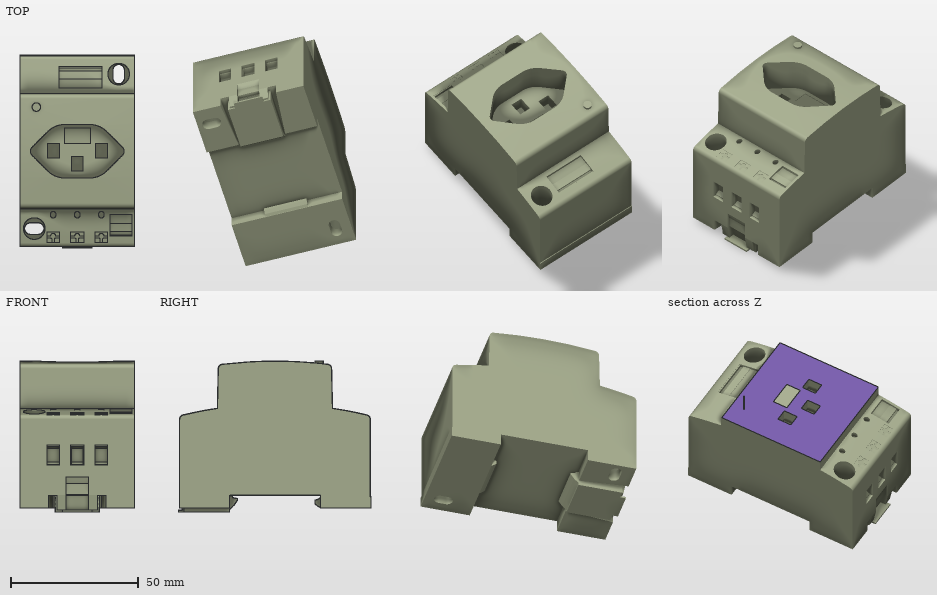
import cadquery as cq
import math

WIDTH = 45.0
HALF_DEPTH = 37.4
LIP_Y = 37.7
LIP_HEIGHT = 4.5
CROWN_RADIUS = 173.6
CROWN_TOP = 57.6
SHOULDER_CROWN_RADIUS = 154.7
SHOULDER_CROWN_TOP = 40.75
TOWER_TOP_Y = 22.2
TOWER_BASE_Y = 22.6
EDGE_FILLET = 1.8

NOTCH_Y = 17.75
NOTCH_TOP = 5.05

SOCKET_HALF_HEIGHT = 10.5
SOCKET_FLAT_CORNER_X = 8.75
SOCKET_TIP_RADIUS = 2.1
SOCKET_SIDE_RADIUS = 9.5
SOCKET_FLOOR = 44.0
PIN_SIZE = (4.7, 5.65)
PIN_DEPTH = 6.05
PIN_CENTRES = [(-9.35, 0.15), (9.5, 0.15), (0.0, -4.9)]
PANEL_SIZE = (10.1, 6.0)
PANEL_CENTRE = (0.15, 6.1)
PANEL_DEPTH = 0.2
BUTTON_CENTRE = (-16.0, 17.3)
BUTTON_RADIUS = 1.65
BUTTON_TOP = 57.7
BUTTON_LENGTH = 3.0

WELL_RADIUS = 4.2
WELL_FLOOR = NOTCH_TOP
SCREW_SLOT_LENGTH = 7.55
SCREW_SLOT_WIDTH = 4.45
FRONT_SCREW = (-16.8, -30.3)
REAR_SCREW = (16.2, 30.2)

WINDOW_INNER_Y = 24.7
WINDOW_RIDGE_Y = 28.3
WINDOW_FOOT_Y = 31.3
WINDOW_GROOVE_Y = 32.7
WINDOW_OUTER_Y = 33.1
WINDOW_INNER_DEPTH = 1.05
WINDOW_PLATE_DEPTH = 0.8
WINDOW_GROOVE_DEPTH = 1.4
WINDOW_LEDGE_DEPTH = 0.15
FRONT_WINDOW_X = (12.9, 21.4)
REAR_WINDOW_X = (-7.1, 9.7)

TERMINAL_PITCH = 9.4
TERMINAL_WIDTH = 4.9
MIDDLE_TERMINAL_WIDTH = 5.2
TEST_HOLE_Y = -24.8
TEST_HOLE_RADII = (1.1, 1.3)
TEST_HOLE_DEPTH = 2.3
SCREW_WINDOW_Y = (-35.6, -31.55)
SCREW_WINDOW_DEPTH = 0.15
MARK_DEPTH = 0.3
MARK_BAND_Y = (-34.0, -33.1)
MARK_BUMP_RADIUS = 1.0
MARK_STEM_WIDTH = 0.9
MARK_STEM_FILLET = 0.6
WIRE_MOUTH_Z = (16.8, 24.7)
WIRE_THROAT_Z = (17.1, 24.15)
WIRE_BACK_Z = (18.1, 23.4)
WIRE_MOUTH_DEPTH = 1.4
WIRE_DEPTH = 3.25
MIDDLE_THROAT_WIDTH = 4.6

LATCH_POCKET_HALF_WIDTH = 11.3
LATCH_POCKET_INNER_HALF_WIDTH = 9.5
LATCH_POCKET_TOP = 5.0
LATCH_HALF_WIDTH = 8.7
LATCH_NOSE_HALF_WIDTH = 7.85
LATCH_FRONT_Y = -35.55
LATCH_NOSE_BOTTOM_Y = -36.3
LATCH_BOTTOM = -1.5
TAB_TOP = -0.75
TAB_HALF_WIDTH = 5.7
TAB_FRONT_Y = -37.8
GRIP_HALF_WIDTH = 4.45
GRIP_RECESS = 2.3
GRIP_SLOT_DEPTH = 0.9
GRIP_SLOT_TOP = 12.3
GRIP_SLOT_SLOPE_Z = 9.65
GRIP_SLOT_BOTTOM = 5.35


def arc_z(top, radius, y):
    """Height at depth y of an arc of the given radius with its crest at `top`."""
    return top - radius + math.sqrt(radius**2 - y**2)


def shoulder_z(y, depth=0):
    """Height at depth y of the shoulder surface, or of a copy of it lowered by `depth`."""
    return arc_z(SHOULDER_CROWN_TOP - depth, SHOULDER_CROWN_RADIUS, y)


def box(x_range, y_range, z_range):
    (x0, x1), (y0, y1), (z0, z1) = x_range, y_range, z_range
    return cq.Workplane("XY").box(x1 - x0, y1 - y0, z1 - z0, centered=False).translate((x0, y0, z0))


def extrude_yz(points, x0, x1):
    """Prism along X whose section is a polygon of (y, z) points."""
    return cq.Workplane("YZ").polyline(points).close().extrude(x1 - x0).translate((x0, 0, 0))


def centred(middle, size):
    return (middle - size / 2, middle + size / 2)


def housing():
    shoulder_outer = shoulder_z(HALF_DEPTH)
    shoulder_inner = shoulder_z(TOWER_BASE_Y)
    shoulder_mid_y = (HALF_DEPTH + TOWER_BASE_Y) / 2
    shoulder_mid = shoulder_z(shoulder_mid_y)
    tower_edge = arc_z(CROWN_TOP, CROWN_RADIUS, TOWER_TOP_Y)
    body = (
        cq.Workplane("YZ")
        .moveTo(-HALF_DEPTH, 0)
        .lineTo(-HALF_DEPTH, shoulder_outer)
        .threePointArc((-shoulder_mid_y, shoulder_mid), (-TOWER_BASE_Y, shoulder_inner))
        .lineTo(-TOWER_TOP_Y, tower_edge)
        .threePointArc((0, CROWN_TOP), (TOWER_TOP_Y, tower_edge))
        .lineTo(TOWER_BASE_Y, shoulder_inner)
        .threePointArc((shoulder_mid_y, shoulder_mid), (HALF_DEPTH, shoulder_outer))
        .lineTo(HALF_DEPTH, 0)
        .close()
        .extrude(WIDTH / 2, both=True)
    )
    for y, z in ((HALF_DEPTH, shoulder_outer), (TOWER_TOP_Y, tower_edge)):
        for side in (-1, 1):
            body = body.edges(cq.selectors.NearestToPointSelector((0, side * y, z))).fillet(EDGE_FILLET)
    full_width = (-WIDTH / 2, WIDTH / 2)
    body = body.union(box(full_width, (NOTCH_Y, LIP_Y), (0, LIP_HEIGHT)))
    return body.cut(box(full_width, (-NOTCH_Y, NOTCH_Y), (0, NOTCH_TOP)))


def rear_hook():
    profile = [(0, 4.1), (-1.0, 3.5), (-2.1, 3.2), (-2.1, 1.7), (-1.0, 0.75), (0, 0.2)]
    tip = [(NOTCH_Y + y, z) for y, z in profile]
    root = [(LIP_Y, profile[-1][1]), (LIP_Y, profile[0][1])]
    return extrude_yz(tip + root, -LATCH_HALF_WIDTH, LATCH_HALF_WIDTH)


def socket():
    length = CROWN_TOP - SOCKET_FLOOR
    tip_x = SOCKET_FLAT_CORNER_X + SOCKET_HALF_HEIGHT
    hexagon = [
        (tip_x, 0),
        (SOCKET_FLAT_CORNER_X, SOCKET_HALF_HEIGHT),
        (-SOCKET_FLAT_CORNER_X, SOCKET_HALF_HEIGHT),
        (-tip_x, 0),
        (-SOCKET_FLAT_CORNER_X, -SOCKET_HALF_HEIGHT),
        (SOCKET_FLAT_CORNER_X, -SOCKET_HALF_HEIGHT),
    ]
    cavity = cq.Workplane("XY").workplane(offset=SOCKET_FLOOR).polyline(hexagon).close().extrude(length)
    cavity = cavity.edges("|Z and (<X or >X)").fillet(SOCKET_TIP_RADIUS)
    for x, y in hexagon:
        if y != 0:
            corner = (x, y, SOCKET_FLOOR + length / 2)
            cavity = cavity.edges(cq.selectors.NearestToPointSelector(corner)).fillet(SOCKET_SIDE_RADIUS)
    return cavity


def socket_floor_cuts():
    floor = cq.Workplane("XY").workplane(offset=SOCKET_FLOOR)
    pins = floor.pushPoints(PIN_CENTRES).rect(*PIN_SIZE).extrude(-PIN_DEPTH)
    return pins.union(floor.center(*PANEL_CENTRE).rect(*PANEL_SIZE).extrude(-PANEL_DEPTH))


def button():
    base = cq.Workplane("XY").workplane(offset=BUTTON_TOP - BUTTON_LENGTH)
    return base.center(*BUTTON_CENTRE).circle(BUTTON_RADIUS).extrude(BUTTON_LENGTH)


def screw_hole(centre, slot_angle):
    well = cq.Workplane("XY").workplane(offset=WELL_FLOOR).center(*centre)
    well = well.circle(WELL_RADIUS).extrude(SHOULDER_CROWN_TOP - WELL_FLOOR)
    slot = cq.Workplane("XY").center(*centre)
    slot = slot.slot2D(SCREW_SLOT_LENGTH, SCREW_SLOT_WIDTH, slot_angle).extrude(SHOULDER_CROWN_TOP)
    return well.union(slot)


def label_window(x_range, side):
    """Window sunk into the front (side = -1) or rear (side = 1) shoulder, with a stepped floor."""
    floor_steps = [
        (WINDOW_INNER_Y, WINDOW_RIDGE_Y, WINDOW_INNER_DEPTH),
        (WINDOW_RIDGE_Y, WINDOW_FOOT_Y, WINDOW_PLATE_DEPTH),
        (WINDOW_FOOT_Y, WINDOW_GROOVE_Y, WINDOW_GROOVE_DEPTH),
        (WINDOW_GROOVE_Y, WINDOW_OUTER_Y, WINDOW_LEDGE_DEPTH),
    ]
    section = [(side * WINDOW_INNER_Y, SHOULDER_CROWN_TOP)]
    for inner_y, outer_y, depth in floor_steps:
        section.append((side * inner_y, shoulder_z(inner_y, depth)))
        section.append((side * outer_y, shoulder_z(outer_y, depth)))
    section.append((side * WINDOW_OUTER_Y, SHOULDER_CROWN_TOP))
    return extrude_yz(section, *x_range)


def test_hole(x):
    bottom = shoulder_z(TEST_HOLE_Y) - TEST_HOLE_DEPTH
    hole = cq.Workplane("XY").workplane(offset=bottom).center(x, TEST_HOLE_Y)
    return hole.ellipse(*TEST_HOLE_RADII).extrude(SHOULDER_CROWN_TOP - bottom)


def shoulder_skin(depth):
    """Layer of the front shoulder, `depth` thick, that limits shallow engraving."""
    outer, inner = -HALF_DEPTH, -TOWER_BASE_Y
    middle = (outer + inner) / 2
    points = [(y, shoulder_z(y, depth)) for y in (outer, middle, inner)]
    skin = cq.Workplane("YZ").moveTo(*points[0]).threePointArc(points[1], points[2])
    skin = skin.lineTo(inner, SHOULDER_CROWN_TOP).lineTo(outer, SHOULDER_CROWN_TOP).close()
    return skin.extrude(WIDTH / 2, both=True)


def screw_mark(x, width):
    """Window over the terminal screw with a band, a round bump and a flared stem sunk deeper into it."""
    tall = (0, SHOULDER_CROWN_TOP)
    window = box(centred(x, width), SCREW_WINDOW_Y, tall).intersect(shoulder_skin(SCREW_WINDOW_DEPTH))
    band_bottom, band_top = MARK_BAND_Y
    band = box(centred(x, width), MARK_BAND_Y, tall)
    stem = box(centred(x, MARK_STEM_WIDTH), (SCREW_WINDOW_Y[0], band_top), tall)
    bump = cq.Workplane("XY").center(x, band_top).circle(MARK_BUMP_RADIUS).extrude(SHOULDER_CROWN_TOP)
    mark = band.union(stem)
    for side in (-1, 1):
        inner_corner = (x + side * MARK_STEM_WIDTH / 2, band_bottom, SHOULDER_CROWN_TOP / 2)
        mark = mark.edges(cq.selectors.NearestToPointSelector(inner_corner)).fillet(MARK_STEM_FILLET)
    return window.union(mark.union(bump).intersect(shoulder_skin(MARK_DEPTH)))


def wire_entry(x, mouth_width, throat_width):
    """Opening in the front face: a straight mouth, then a throat whose floor and roof converge."""
    mouth_back = -HALF_DEPTH + WIRE_MOUTH_DEPTH
    throat_back = -HALF_DEPTH + WIRE_DEPTH
    throat_section = [
        (mouth_back, WIRE_THROAT_Z[0]),
        (throat_back, WIRE_BACK_Z[0]),
        (throat_back, WIRE_BACK_Z[1]),
        (mouth_back, WIRE_THROAT_Z[1]),
    ]
    mouth = box(centred(x, mouth_width), (-HALF_DEPTH, mouth_back), WIRE_MOUTH_Z)
    return mouth.union(extrude_yz(throat_section, *centred(x, throat_width)))


def latch_pocket():
    half_section = [(LATCH_POCKET_HALF_WIDTH, -HALF_DEPTH), (LATCH_POCKET_INNER_HALF_WIDTH, -NOTCH_Y)]
    mirrored = [(-x, y) for x, y in reversed(half_section)]
    return cq.Workplane("XY").polyline(half_section + mirrored).close().extrude(LATCH_POCKET_TOP)


def latch():
    """Sliding latch: bar, sloping nose, pull tab and rail hook, with a finger grip cut into the nose."""
    bar = box(
        (-LATCH_HALF_WIDTH, LATCH_HALF_WIDTH),
        (LATCH_FRONT_Y, -NOTCH_Y),
        (LATCH_BOTTOM, LATCH_POCKET_TOP),
    )
    nose_section = [
        (LATCH_FRONT_Y, LATCH_POCKET_TOP),
        (-HALF_DEPTH, LATCH_POCKET_TOP),
        (LATCH_NOSE_BOTTOM_Y, TAB_TOP),
        (LATCH_FRONT_Y, TAB_TOP),
    ]
    nose = extrude_yz(nose_section, -LATCH_NOSE_HALF_WIDTH, LATCH_NOSE_HALF_WIDTH)
    grip_section = [
        (-HALF_DEPTH, GRIP_SLOT_BOTTOM),
        (-HALF_DEPTH + GRIP_RECESS, GRIP_SLOT_BOTTOM),
        (LATCH_NOSE_BOTTOM_Y + GRIP_RECESS, TAB_TOP),
        (-HALF_DEPTH, TAB_TOP),
    ]
    grip = extrude_yz(grip_section, -GRIP_HALF_WIDTH, GRIP_HALF_WIDTH)
    tab = box((-TAB_HALF_WIDTH, TAB_HALF_WIDTH), (TAB_FRONT_Y, LATCH_FRONT_Y), (LATCH_BOTTOM, TAB_TOP))
    hook_section = [(0, 5.0), (1.1, 4.9), (1.1, 4.15), (3.2, 3.8), (3.2, 3.25), (1.8, 1.3), (0, -0.5)]
    hook_points = [(-NOTCH_Y + y, z) for y, z in hook_section]
    hook = extrude_yz(hook_points, -LATCH_HALF_WIDTH, LATCH_HALF_WIDTH)
    return bar.union(nose).union(hook).cut(grip).union(tab)


def grip_slot():
    """Finger slot in the front face above the latch; its top slopes down into the housing."""
    back = -HALF_DEPTH + GRIP_SLOT_DEPTH
    upper = [(-HALF_DEPTH, GRIP_SLOT_TOP), (back, GRIP_SLOT_SLOPE_Z), (back, GRIP_SLOT_BOTTOM)]
    lower_back = -HALF_DEPTH + GRIP_RECESS
    lower = [
        (lower_back, GRIP_SLOT_BOTTOM),
        (lower_back, LATCH_POCKET_TOP),
        (-HALF_DEPTH, LATCH_POCKET_TOP),
    ]
    return extrude_yz(upper + lower, -GRIP_HALF_WIDTH, GRIP_HALF_WIDTH)


result = housing().cut(socket()).cut(socket_floor_cuts()).union(button())
result = result.cut(screw_hole(FRONT_SCREW, 0)).cut(screw_hole(REAR_SCREW, 90))
result = result.cut(label_window(FRONT_WINDOW_X, -1)).cut(label_window(REAR_WINDOW_X, 1))

TERMINALS = [
    (-TERMINAL_PITCH, TERMINAL_WIDTH, TERMINAL_WIDTH),
    (0, MIDDLE_TERMINAL_WIDTH, MIDDLE_THROAT_WIDTH),
    (TERMINAL_PITCH, TERMINAL_WIDTH, TERMINAL_WIDTH),
]
for terminal_x, opening_width, throat_width in TERMINALS:
    result = result.cut(test_hole(terminal_x))
    result = result.cut(screw_mark(terminal_x, opening_width))
    result = result.cut(wire_entry(terminal_x, opening_width, throat_width))

result = result.cut(latch_pocket()).cut(grip_slot())
result = result.union(latch()).union(rear_hook())